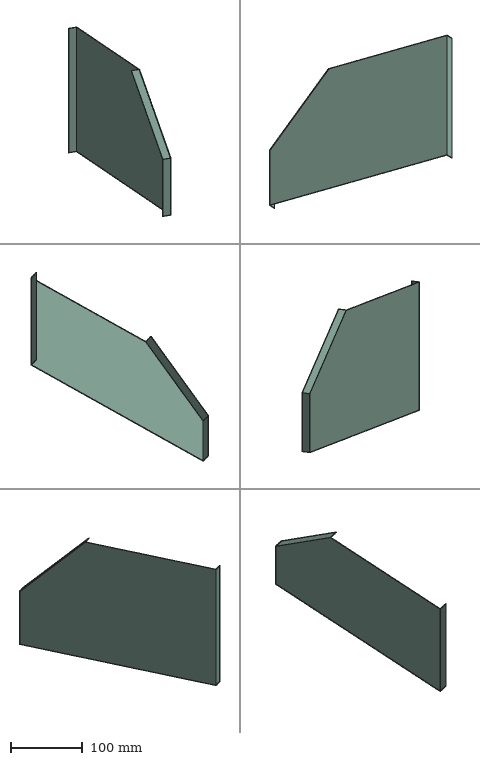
import cadquery as cq
import math

length = 300.0
depth = 12.5
height = 184.5
sheet = 0.5
cut_width = 100.0
cut_angle = 45

corner_offset = sheet * math.sin(math.radians(cut_angle))
panel_top = height - corner_offset
panel_end_x = length - sheet
slope_start_x = panel_end_x - cut_width
slope_end_z = panel_top - cut_width * math.tan(math.radians(cut_angle))


def extrude_outline(points, thickness):
    """Extrude an XZ outline forward from the rear plane at Y = depth."""
    outline = cq.Workplane("XZ", origin=(0, depth, 0)).polyline(points).close()
    return outline.extrude(thickness)


def side_flange(x, flange_height):
    """Upright strip turned forward from a vertical panel edge."""
    return cq.Workplane("XY").box(sheet, depth, flange_height, centered=False).translate((x, 0, 0))


panel = extrude_outline(
    [
        (0, 0),
        (panel_end_x, 0),
        (panel_end_x, slope_end_z),
        (slope_start_x, panel_top),
        (0, panel_top),
    ],
    sheet,
)

slope_flange = extrude_outline(
    [
        (slope_start_x, panel_top),
        (slope_start_x + corner_offset, height),
        (panel_end_x + corner_offset, slope_end_z + corner_offset),
        (panel_end_x, slope_end_z),
    ],
    depth,
)

left_flange = side_flange(0, panel_top)
right_flange = side_flange(panel_end_x, slope_end_z + corner_offset)

result = panel.union(slope_flange).union(left_flange).union(right_flange)